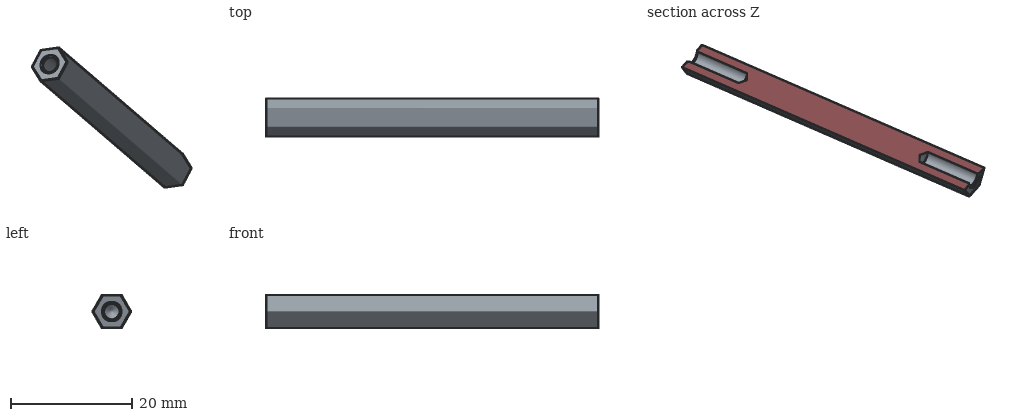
import cadquery as cq
import math

length = 55.0
across_flats = 5.5
sharp_across_corners = across_flats / math.cos(math.radians(30))
corner_radius = 0.1
end_chamfer = 0.1

hole_diameter = 2.6
hole_depth = 9.9
drill_tip_angle = 120.0
mouth_diameter = 3.2

half_length = length / 2
hole_radius = hole_diameter / 2
mouth_radius = mouth_diameter / 2


def hex_bar():
    """Hexagonal bar with flats on top and bottom, rounded corners and chamfers around both ends."""
    return (
        cq.Workplane("YZ")
        .polygon(6, sharp_across_corners)
        .extrude(half_length, both=True)
        .edges("|X")
        .fillet(corner_radius)
        .faces("<X or >X")
        .chamfer(end_chamfer)
    )


def left_hole():
    """Countersunk blind hole with a drill-point bottom, entering the -X end."""
    countersink_depth = mouth_radius - hole_radius
    tip_depth = hole_radius / math.tan(math.radians(drill_tip_angle / 2))
    return (
        cq.Workplane("XY")
        .moveTo(-half_length, 0)
        .lineTo(-half_length, mouth_radius)
        .lineTo(-half_length + countersink_depth, hole_radius)
        .lineTo(-half_length + hole_depth, hole_radius)
        .lineTo(-half_length + hole_depth + tip_depth, 0)
        .close()
        .revolve(360, (0, 0, 0), (1, 0, 0))
    )


hole = left_hole()
result = hex_bar().cut(hole).cut(hole.mirror("YZ"))